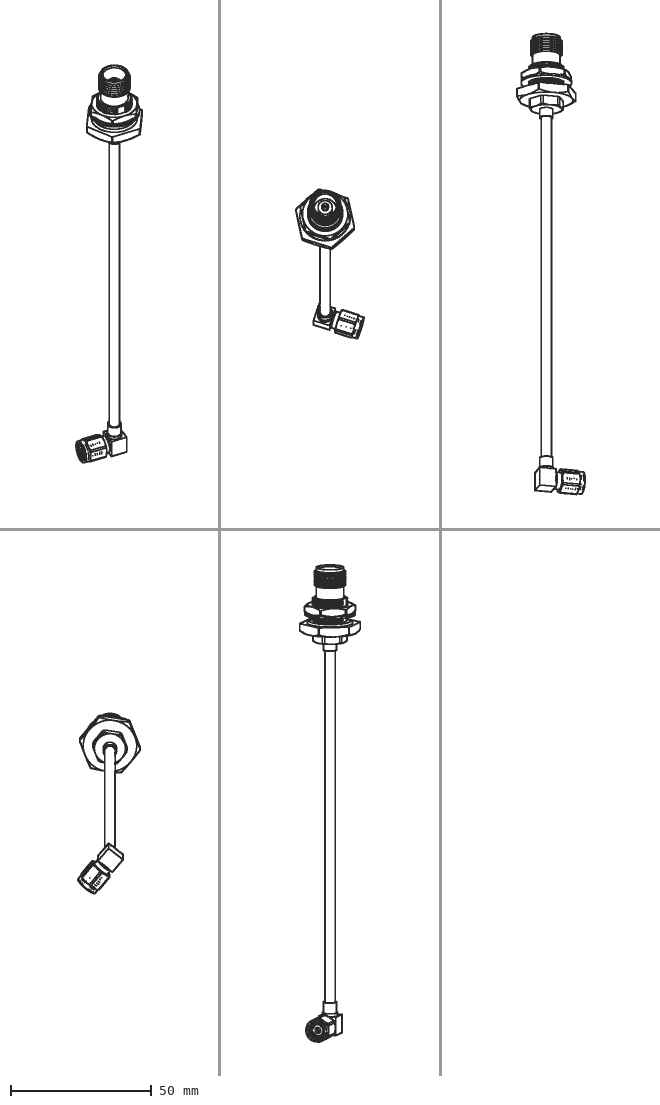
import cadquery as cq
import math

TOTAL_HEIGHT = 169.5

RIM_HEIGHT = 1.0
COUPLING_THREAD_BOTTOM = TOTAL_HEIGHT - 6.6
BULKHEAD_THREAD_TOP = TOTAL_HEIGHT - 10.8
FLANGE_CONE_TOP = TOTAL_HEIGHT - 19.3
FLANGE_TOP = TOTAL_HEIGHT - 20.0
FLANGE_BOTTOM = TOTAL_HEIGHT - 23.4
WRENCH_HEX_BOTTOM = TOTAL_HEIGHT - 26.8
JACK_FERRULE_BOTTOM = TOTAL_HEIGHT - 29.8

NECK_RADIUS = 5.0
COUPLING_THREAD_RADIUS = 5.6
BULKHEAD_THREAD_RADIUS = 6.3
BULKHEAD_FLAT = 5.6
THREAD_DEPTH = 0.5
THREAD_PITCH = 0.8
FLANGE_CONE_TOP_RADIUS = 7.3
FLANGE_CONE_RADIUS = 8.1
FLANGE_WIDTH = 19.0
FLANGE_CORNER_RADIUS = 10.8
WRENCH_HEX_WIDTH = 11.0
WRENCH_HEX_CORNER_RADIUS = 6.1
HEX_CHAMFER_ANGLE = 30.0
BORE_RADIUS = 4.0
BORE_DEPTH = 7.6
BORE_CHAMFER = 0.5
INSULATOR_RADIUS = 2.5
INSULATOR_RECESS = 4.0
CONTACT_RADIUS = 1.2
CONTACT_RECESS = 2.7
CONTACT_HOLE_RADIUS = 0.5
CONTACT_HOLE_DEPTH = 2.5

NUT_WIDTH = 16.1
NUT_CORNER_RADIUS = 9.2
NUT_TOP = TOTAL_HEIGHT - 13.4
NUT_HEIGHT = 2.9
WASHER_RADIUS = 9.0
WASHER_HEIGHT = 0.7

CABLE_RADIUS = 1.9
FERRULE_RADIUS = 2.4

COUPLING_HEX_WIDTH = 8.0
COUPLING_HEX_CORNER_RADIUS = 4.4
COUPLING_COLLAR_RADIUS = 3.0
COUPLING_COLLAR_START = 3.2
COUPLING_HEX_START = 5.0
COUPLING_HEX_END = 11.4
COUPLING_END = 13.2
COUPLING_CAVITY_START = 6.3
COUPLING_CAVITY_RADIUS = 3.5
PLUG_AXIS_HEIGHT = COUPLING_HEX_CORNER_RADIUS

ELBOW_SIZE = 6.6
ELBOW_FRONT = 2.7
ELBOW_TOP = PLUG_AXIS_HEIGHT + ELBOW_SIZE / 2
COLLAR_RADIUS = 2.7
COLLAR_HEIGHT = 1.0
ELBOW_FERRULE_TOP = 12.5
SPIGOT_RADIUS = 2.5
SPIGOT_END = 11.0
PLUG_FACE_RADIUS = 2.0
PLUG_FACE_END = 11.9
PLUG_RECESS_RADIUS = 1.0
PLUG_RECESS_DEPTH = 1.7
PIN_RADIUS = 0.5
PIN_END = 12.7


def cylinder(radius, bottom, top):
    return cq.Workplane("XY").workplane(offset=bottom).circle(radius).extrude(top - bottom)


def plug_cylinder(radius, start, end):
    """Cylinder on the plug axis, between two distances from the cable axis toward -Y."""
    plane = cq.Workplane("XZ", origin=(0, -start, PLUG_AXIS_HEIGHT))
    return plane.circle(radius).extrude(end - start)


def hexagon(width, corner_radius, height, chamfer_top=False):
    """Hexagonal prism on Z from 0 to height, corners on +-Y, rounded, and chamfered at the bottom."""
    flat_radius = width / 2
    drop = (corner_radius - flat_radius) * math.tan(math.radians(HEX_CHAMFER_ANGLE))
    prism = cq.Workplane("XY").polygon(6, 2 * width / math.sqrt(3)).extrude(height)
    prism = prism.rotate((0, 0, 0), (0, 0, 1), 90)
    outline = cq.Workplane("XZ").moveTo(0, 0).lineTo(flat_radius, 0).lineTo(corner_radius, drop)
    if chamfer_top:
        outline = outline.lineTo(corner_radius, height - drop).lineTo(flat_radius, height)
    else:
        outline = outline.lineTo(corner_radius, height)
    envelope = outline.lineTo(0, height).close().revolve(360, (0, 0, 0), (0, 1, 0))
    return prism.intersect(envelope)


def threaded_rod(crest_radius, bottom, top):
    """Rod with a row of equal ridges, its ends at root radius."""
    root_radius = crest_radius - THREAD_DEPTH
    ridge_count = math.floor((top - bottom) / THREAD_PITCH)
    pitch = (top - bottom) / ridge_count
    outline = cq.Workplane("XZ").moveTo(0, bottom).lineTo(root_radius, bottom)
    for ridge in range(ridge_count):
        root = bottom + ridge * pitch
        outline = outline.lineTo(crest_radius, root + pitch / 2).lineTo(root_radius, root + pitch)
    return outline.lineTo(0, top).close().revolve(360, (0, 0, 0), (0, 1, 0))


def make_jack():
    jack = cylinder(NECK_RADIUS, FLANGE_BOTTOM, TOTAL_HEIGHT)
    jack = jack.union(threaded_rod(COUPLING_THREAD_RADIUS, COUPLING_THREAD_BOTTOM, TOTAL_HEIGHT - RIM_HEIGHT))

    bulkhead = threaded_rod(BULKHEAD_THREAD_RADIUS, FLANGE_CONE_TOP, BULKHEAD_THREAD_TOP)
    flat_cut = cq.Workplane("XY").box(
        BULKHEAD_THREAD_RADIUS, 2 * BULKHEAD_THREAD_RADIUS, TOTAL_HEIGHT, centered=(False, True, False)
    )
    jack = jack.union(bulkhead.cut(flat_cut.translate((BULKHEAD_FLAT, 0, 0))))

    cone = (
        cq.Workplane("XZ")
        .moveTo(0, FLANGE_TOP)
        .lineTo(FLANGE_CONE_RADIUS, FLANGE_TOP)
        .lineTo(FLANGE_CONE_TOP_RADIUS, FLANGE_CONE_TOP)
        .lineTo(0, FLANGE_CONE_TOP)
        .close()
        .revolve(360, (0, 0, 0), (0, 1, 0))
    )
    flange = hexagon(FLANGE_WIDTH, FLANGE_CORNER_RADIUS, FLANGE_TOP - FLANGE_BOTTOM)
    wrench_height = FLANGE_BOTTOM - WRENCH_HEX_BOTTOM
    wrench_hex = hexagon(WRENCH_HEX_WIDTH, WRENCH_HEX_CORNER_RADIUS, wrench_height)
    jack = jack.union(cone)
    jack = jack.union(flange.translate((0, 0, FLANGE_BOTTOM)))
    jack = jack.union(wrench_hex.translate((0, 0, WRENCH_HEX_BOTTOM)))
    jack = jack.union(cylinder(FERRULE_RADIUS, JACK_FERRULE_BOTTOM, WRENCH_HEX_BOTTOM))
    jack = jack.cut(cylinder(CABLE_RADIUS, JACK_FERRULE_BOTTOM, WRENCH_HEX_BOTTOM))

    bore_floor = TOTAL_HEIGHT - BORE_DEPTH
    contact_top = TOTAL_HEIGHT - CONTACT_RECESS
    bore = (
        cq.Workplane("XZ")
        .moveTo(0, bore_floor)
        .lineTo(BORE_RADIUS, bore_floor)
        .lineTo(BORE_RADIUS, TOTAL_HEIGHT - BORE_CHAMFER)
        .lineTo(BORE_RADIUS + BORE_CHAMFER, TOTAL_HEIGHT)
        .lineTo(0, TOTAL_HEIGHT)
        .close()
        .revolve(360, (0, 0, 0), (0, 1, 0))
    )
    jack = jack.cut(bore)
    jack = jack.union(cylinder(INSULATOR_RADIUS, bore_floor, TOTAL_HEIGHT - INSULATOR_RECESS))
    jack = jack.union(cylinder(CONTACT_RADIUS, bore_floor, contact_top))
    return jack.cut(cylinder(CONTACT_HOLE_RADIUS, contact_top - CONTACT_HOLE_DEPTH, contact_top))


def make_nut():
    bottom = NUT_TOP - NUT_HEIGHT
    nut = hexagon(NUT_WIDTH, NUT_CORNER_RADIUS, NUT_HEIGHT, chamfer_top=True)
    return nut.translate((0, 0, bottom)).cut(cylinder(BULKHEAD_THREAD_RADIUS, bottom, NUT_TOP))


def make_washer():
    top = NUT_TOP - NUT_HEIGHT
    bottom = top - WASHER_HEIGHT
    return cylinder(WASHER_RADIUS, bottom, top).cut(cylinder(BULKHEAD_THREAD_RADIUS, bottom, top))


def make_cable():
    return cylinder(CABLE_RADIUS, ELBOW_TOP + COLLAR_HEIGHT, WRENCH_HEX_BOTTOM)


def make_elbow():
    elbow_back = ELBOW_SIZE / 2
    elbow = cq.Workplane("XY").box(ELBOW_SIZE, elbow_back + ELBOW_FRONT, ELBOW_SIZE)
    elbow = elbow.translate((0, (elbow_back - ELBOW_FRONT) / 2, PLUG_AXIS_HEIGHT))

    collar_top = ELBOW_TOP + COLLAR_HEIGHT
    elbow = elbow.union(cylinder(COLLAR_RADIUS, ELBOW_TOP, collar_top))
    elbow = elbow.union(cylinder(FERRULE_RADIUS, collar_top, ELBOW_FERRULE_TOP))
    elbow = elbow.cut(cylinder(CABLE_RADIUS, collar_top, ELBOW_FERRULE_TOP))

    elbow = elbow.union(plug_cylinder(SPIGOT_RADIUS, 0, SPIGOT_END))
    elbow = elbow.union(plug_cylinder(PLUG_FACE_RADIUS, 0, PLUG_FACE_END))
    elbow = elbow.cut(plug_cylinder(PLUG_RECESS_RADIUS, PLUG_FACE_END - PLUG_RECESS_DEPTH, PLUG_FACE_END))
    return elbow.union(plug_cylinder(PIN_RADIUS, 0, PIN_END))


def make_coupling_nut():
    hex_length = COUPLING_HEX_END - COUPLING_HEX_START
    nut = hexagon(COUPLING_HEX_WIDTH, COUPLING_HEX_CORNER_RADIUS, hex_length, chamfer_top=True)
    nut = nut.rotate((0, 0, 0), (1, 0, 0), 90).translate((0, -COUPLING_HEX_START, PLUG_AXIS_HEIGHT))
    nut = nut.union(plug_cylinder(COUPLING_COLLAR_RADIUS, COUPLING_COLLAR_START, COUPLING_HEX_START))
    nut = nut.union(plug_cylinder(COUPLING_HEX_WIDTH / 2, COUPLING_HEX_END, COUPLING_END))
    nut = nut.cut(plug_cylinder(SPIGOT_RADIUS, COUPLING_COLLAR_START, COUPLING_CAVITY_START))

    cavity = threaded_rod(COUPLING_CAVITY_RADIUS, COUPLING_CAVITY_START, COUPLING_END)
    cavity = cavity.translate((0, 0, -COUPLING_CAVITY_START)).rotate((0, 0, 0), (1, 0, 0), 90)
    return nut.cut(cavity.translate((0, -COUPLING_CAVITY_START, PLUG_AXIS_HEIGHT)))


jack = make_jack()
nut = make_nut()
washer = make_washer()
cable = make_cable()
elbow = make_elbow()
coupling_nut = make_coupling_nut()

result = cq.Compound.makeCompound(
    [jack.val(), nut.val(), washer.val(), cable.val(), elbow.val(), coupling_nut.val()]
)